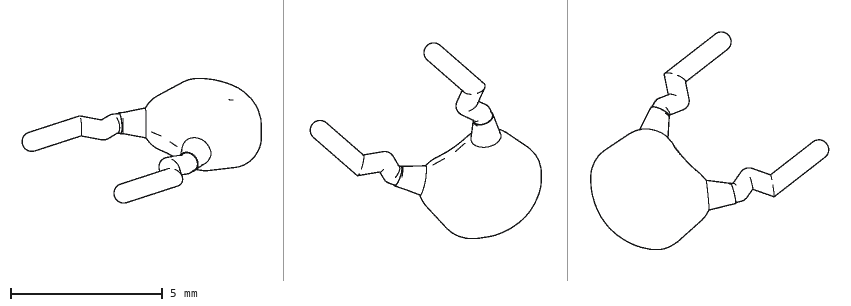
import cadquery as cq
import math


BODY_TOP_Y = 7.3
BODY_HALF_WIDTH = 1.92
CROWN_RADIUS = 2.41
SHOULDER_RADIUS = 1.095
LOWER_CORNER = (1.875, 3.49)
LOWER_CORNER_RADIUS = 1.02
BELLY_Y = 3.96
FACE_REF_Y = 5.84
FACE_REF_Z = 1.16
FACE_TAPER = math.radians(9.9)
EDGE_RADIUS = 0.97
WEDGE_START_Y = 2.92
WEDGE_END_Y = 8.03
PRISM_HEIGHT = 3.65

OVERALL_WIDTH = 5.65
LEAD_DIAMETER = 0.65
TIP_RADIUS = 0.31
LEAD_X = (OVERALL_WIDTH - LEAD_DIAMETER) / 2
FOOT_BEND = (LEAD_X, 2.32)
KNEE_BEND = (1.78, 2.72)
ELBOW_BEND = (1.96, 3.3)
NECK_DIAMETER = 0.7
NECK_ANGLE = math.radians(65)
NECK_START = 0.2
NECK_END = 1.46
FLARE_ANGLE = math.radians(11)
FLARE_LENGTH = 1.02


def mirrored(point):
    return -point[0], point[1]


def along_neck(distance):
    """Point on the right-hand neck axis, measured from the elbow."""
    return (
        ELBOW_BEND[0] - distance * math.cos(NECK_ANGLE),
        ELBOW_BEND[1] + distance * math.sin(NECK_ANGLE),
    )


def make_rod(start, end, diameter):
    """Round rod between two points of the mid-plane."""
    direction = cq.Vector(end[0] - start[0], end[1] - start[1], 0)
    rod = cq.Solid.makeCylinder(diameter / 2, direction.Length, cq.Vector(*start, 0), direction)
    return cq.Workplane(obj=rod)


def make_plan_prism():
    """Body outline with convex crown, round shoulders and concave belly."""
    crown_y = BODY_TOP_Y - CROWN_RADIUS
    shoulder_x = BODY_HALF_WIDTH - SHOULDER_RADIUS
    shoulder_rise = math.sqrt((CROWN_RADIUS - SHOULDER_RADIUS) ** 2 - shoulder_x**2)
    shoulder_y = crown_y + shoulder_rise
    join_angle = math.atan2(shoulder_rise, shoulder_x)

    def shoulder_point(angle):
        return (
            shoulder_x + SHOULDER_RADIUS * math.cos(angle),
            shoulder_y + SHOULDER_RADIUS * math.sin(angle),
        )

    flank_top = shoulder_point(0)
    shoulder_mid = shoulder_point(join_angle / 2)
    crown_end = shoulder_point(join_angle)
    prism = (
        cq.Workplane("XY")
        .moveTo(*mirrored(crown_end))
        .threePointArc((0, BODY_TOP_Y), crown_end)
        .threePointArc(shoulder_mid, flank_top)
        .lineTo(*LOWER_CORNER)
        .threePointArc((0, BELLY_Y), mirrored(LOWER_CORNER))
        .lineTo(*mirrored(flank_top))
        .threePointArc(mirrored(shoulder_mid), mirrored(crown_end))
        .close()
        .extrude(PRISM_HEIGHT / 2, both=True)
    )
    return prism.edges("|Z").edges("<Y").fillet(LOWER_CORNER_RADIUS)


def make_wedge():
    """Tapered slab between the two broad faces."""
    def half_height(y):
        return FACE_REF_Z + (y - FACE_REF_Y) * math.tan(FACE_TAPER)

    start_z = half_height(WEDGE_START_Y)
    end_z = half_height(WEDGE_END_Y)
    corners = [
        (WEDGE_START_Y, -start_z),
        (WEDGE_END_Y, -end_z),
        (WEDGE_END_Y, end_z),
        (WEDGE_START_Y, start_z),
    ]
    return cq.Workplane("YZ").polyline(corners).close().extrude(OVERALL_WIDTH / 2, both=True)


def make_right_neck():
    """Round neck plus a cone leaning inward, whose outer side runs along the neck."""
    neck = make_rod(along_neck(NECK_START), along_neck(NECK_END), NECK_DIAMETER)
    flare_heading = NECK_ANGLE - FLARE_ANGLE
    small_radius = NECK_DIAMETER / 2 * math.cos(FLARE_ANGLE)
    flare = cq.Solid.makeCone(
        small_radius,
        small_radius + FLARE_LENGTH * math.tan(FLARE_ANGLE),
        FLARE_LENGTH,
        cq.Vector(*along_neck(NECK_START + small_radius * math.sin(FLARE_ANGLE)), 0),
        cq.Vector(-math.cos(flare_heading), math.sin(flare_heading), 0),
    )
    return neck.union(cq.Workplane(obj=flare))


def make_body():
    body = make_plan_prism().intersect(make_wedge())
    body = body.faces(">Z or <Z").edges().fillet(EDGE_RADIUS)
    right_neck = make_right_neck()
    return body.union(right_neck).union(right_neck.mirror("YZ"))


def make_right_lead():
    """Kinked wire: mitred at the foot, ball-rounded at the knee and the elbow."""
    neck_seat = along_neck(NECK_START)
    foot = (
        cq.Workplane("XZ", origin=(LEAD_X, 0, 0))
        .circle(LEAD_DIAMETER / 2)
        .sweep(cq.Workplane("XY").polyline([(LEAD_X, 0), FOOT_BEND, KNEE_BEND]), transition="right")
        .faces("<Y")
        .edges()
        .fillet(TIP_RADIUS)
    )
    lead = foot.union(make_rod(KNEE_BEND, ELBOW_BEND, LEAD_DIAMETER))
    lead = lead.union(make_rod(ELBOW_BEND, neck_seat, LEAD_DIAMETER))
    for bend in (KNEE_BEND, ELBOW_BEND):
        ball = cq.Workplane("XY").sphere(LEAD_DIAMETER / 2).translate((*bend, 0))
        lead = lead.union(ball)
    return lead


body = make_body()

right_lead = make_right_lead()
leads = []
for lead in (right_lead, right_lead.mirror("YZ")):
    body = body.cut(lead)
    leads.append(lead.val())

result = cq.Compound.makeCompound([body.val(), *leads])